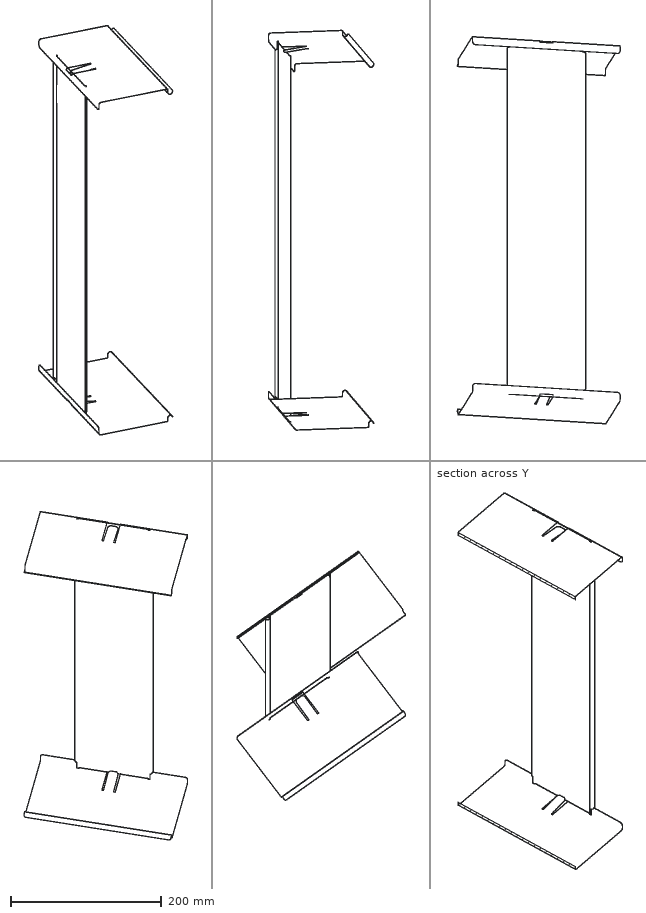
import cadquery as cq
import math

width = 200.0
depth = 108.5
height = 499.0
sheet = 0.6
top = height / 2
front = -depth / 2

lip_height = 12.0
lip_bend = 3.0
lip_corner = 4.0
rear_bend = 1.5
rear_wall = 4.5
hook_slope = 55.0
hook_bend = 3.0
elbow_bend = 1.0
hook_front_arm = 1.0
hook_rear_arm = 3.5
hook_corner = 3.0

slot_width = 18.0
slot_length = 35.5
tongue_width = 14.0
tongue_hinge = 34.0
tongue_length = 31.0
tongue_slope = 8.0
tongue_chamfer = 3.0

panel_setback = 2.5
panel_half_width = 46.5
step_bend = 0.75
step_angle = 60.0
groove_depth = 1.2
groove_floor = 1.5
curl_bend = 4.0
curl_angle = 80.0
curl_end_gap = 11.5
curl_corner = 4.0
neck_half_width = 50.0


def heading_vector(angle):
    return math.cos(math.radians(angle)), math.sin(math.radians(angle))


def bent_sheet(plane, start, heading, steps):
    """Closed outline of a bent sheet that follows a centreline.

    Each step is (straight length, bend radius, bend angle). A zero angle adds no bend.
    The radius is that of the centreline, and a positive angle turns left.
    """
    x, y = start
    half = sheet / 2

    def sides(px, py, angle):
        dx, dy = heading_vector(angle)
        return (px - dy * half, py + dx * half), (px + dy * half, py - dx * half)

    left, right = [], []
    origin = sides(x, y, heading)
    for length, radius, turn in steps:
        dx, dy = heading_vector(heading)
        x, y = x + dx * length, y + dy * length
        corner = sides(x, y, heading)
        left.append((None, corner[0]))
        right.append((None, corner[1]))
        if turn:
            side = math.copysign(radius, turn)
            centre = (x - dy * side, y + dx * side)
            stations = []
            for angle in (heading + turn / 2, heading + turn):
                dx, dy = heading_vector(angle)
                x, y = centre[0] + dy * side, centre[1] - dx * side
                stations.append(sides(x, y, angle))
            heading += turn
            left.append((stations[0][0], stations[1][0]))
            right.append((stations[0][1], stations[1][1]))

    outline = cq.Workplane(plane).moveTo(*origin[0])
    for middle, end in left:
        outline = outline.threePointArc(middle, end) if middle else outline.lineTo(*end)
    outline = outline.lineTo(*right[-1][1])
    ends = [origin[1]] + [end for _, end in right]
    for (middle, _), end in zip(reversed(right), reversed(ends[:-1])):
        outline = outline.threePointArc(middle, end) if middle else outline.lineTo(*end)
    return outline.close()


def shelf_sheet():
    sine = math.sin(math.radians(hook_slope))
    cosine = math.cos(math.radians(hook_slope))
    hook_reach = (
        elbow_bend * (1 - sine)
        + (hook_front_arm + hook_rear_arm) * cosine
        + 2 * hook_bend * sine
        + sheet / 2 * sine
    )
    flat = depth - sheet / 2 - lip_bend - rear_bend - hook_reach
    steps = [
        (lip_height - lip_bend - sheet / 2, lip_bend, -90),
        (flat, rear_bend, -90),
        (rear_wall, elbow_bend, 90 - hook_slope),
        (hook_front_arm, hook_bend, 2 * hook_slope),
        (hook_rear_arm, 0, 0),
    ]
    start = (front + sheet / 2, top - lip_height)
    body = bent_sheet("YZ", start, 90, steps).extrude(width / 2, both=True)
    tip_edges = cq.selectors.ParallelDirSelector(cq.Vector(0, -sine, cosine))
    body = body.edges("|Y").edges("<Z").fillet(lip_corner)
    return body.edges(tip_edges).fillet(hook_corner)


def tongue():
    blade = (
        cq.Workplane("XY")
        .box(tongue_width, tongue_length, sheet, centered=(True, False, False))
        .edges("|Z and <Y")
        .chamfer(tongue_chamfer)
        .translate((0, -tongue_length, -sheet))
        .rotate((0, 0, 0), (1, 0, 0), tongue_slope)
    )
    return blade.translate((0, front + tongue_hinge, top))


def shelf():
    slot = cq.Workplane("XY").box(slot_width, slot_length, lip_bend, centered=(True, False, False))
    slot = slot.translate((0, front, top - lip_bend))
    root_length = slot_length - tongue_hinge + sheet
    root = cq.Workplane("XY").box(tongue_width, root_length, sheet, centered=(True, False, False))
    root = root.translate((0, front + tongue_hinge, top - sheet))
    return shelf_sheet().cut(slot).union(root).union(tongue())


def web():
    step_rise = groove_depth - 2 * step_bend * (1 - math.cos(math.radians(step_angle)))
    steps = [
        (panel_half_width, step_bend, step_angle),
        (step_rise / math.sin(math.radians(step_angle)), step_bend, -step_angle),
        (groove_floor, curl_bend, -curl_angle),
    ]
    panel_front = front + panel_setback
    curled_height = height / 2 - curl_end_gap
    half = bent_sheet("XY", (0, panel_front + sheet / 2), 0, steps).extrude(height / 2 - sheet, both=True)
    profile = half.union(half.mirror("YZ"))
    full_width = 2 * profile.val().BoundingBox().xmax
    blank = cq.Workplane("XY").box(full_width, 2 * depth, 2 * curled_height)
    blank = blank.edges("|Y").fillet(curl_corner)
    neck = cq.Workplane("XY").box(2 * neck_half_width, 2 * depth, height)
    return profile.intersect(blank.union(neck))


upper_shelf = shelf()
result = web().union(upper_shelf).union(upper_shelf.mirror("XY"))